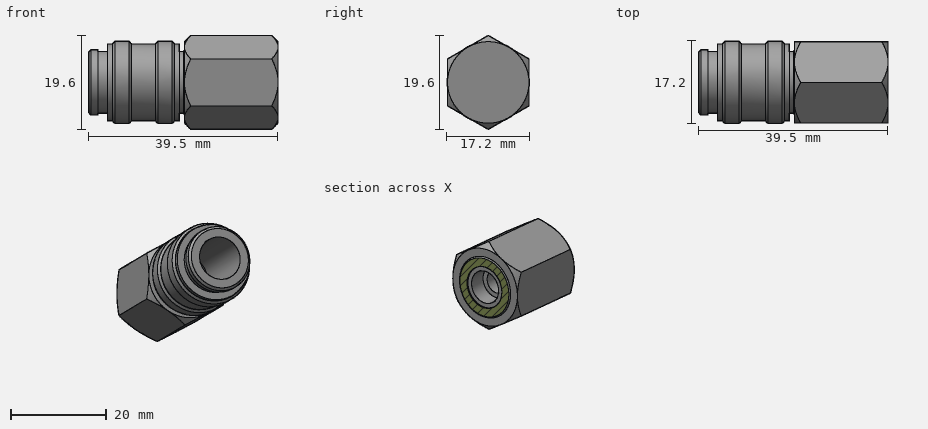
import cadquery as cq
import math

LENGTH = 39.5
NOSE_COLLAR_END = 1.98
SLEEVE_START = 3.95
SLEEVE_END = 18.95
FLARE_START = 19.75
NUT_START = 20.0

COLLAR_RADIUS = 6.85
NECK_RADIUS = 6.48
BORE_RADIUS = 4.5
EDGE_CHAMFER = 0.5

SLEEVE_RADIUS = 8.0
BAND_RADIUS = 8.59
BAND_WIDTH = 4.0
BAND_STARTS = (4.98, 13.95)

ACROSS_FLATS = 17.0
ACROSS_CORNERS = ACROSS_FLATS / math.cos(math.pi / 6)
NUT_LENGTH = LENGTH - NUT_START
NUT_FACE_RADIUS = ACROSS_FLATS / 2
NUT_CHAMFER = ACROSS_CORNERS / 2 - NUT_FACE_RADIUS
SEAT_RADIUS = 3.55
SEAT_DEPTH = 3.95
PORT_RADIUS = 2.5
PORT_DEPTH = 7.9


def cylinder(start, length, radius):
    """Solid cylinder along +X."""
    return cq.Workplane("YZ", origin=(start, 0, 0)).circle(radius).extrude(length)


def make_tube():
    flare_size = NUT_START - FLARE_START
    profile = (
        cq.Workplane("XY")
        .moveTo(0, BORE_RADIUS)
        .lineTo(0, COLLAR_RADIUS - EDGE_CHAMFER)
        .lineTo(EDGE_CHAMFER, COLLAR_RADIUS)
        .lineTo(NOSE_COLLAR_END, COLLAR_RADIUS)
        .lineTo(NOSE_COLLAR_END, NECK_RADIUS)
        .lineTo(FLARE_START, NECK_RADIUS)
        .lineTo(NUT_START, NECK_RADIUS + flare_size)
        .lineTo(NUT_START, BORE_RADIUS)
        .close()
    )
    return profile.revolve(360, (0, 0, 0), (1, 0, 0))


def make_sleeve():
    sleeve = cylinder(SLEEVE_START, SLEEVE_END - SLEEVE_START, SLEEVE_RADIUS)
    for start in BAND_STARTS:
        band = cylinder(start, BAND_WIDTH, BAND_RADIUS).faces("<X or >X").chamfer(EDGE_CHAMFER)
        sleeve = sleeve.union(band)
    return sleeve.cut(cylinder(SLEEVE_START, SLEEVE_END - SLEEVE_START, NECK_RADIUS))


def make_nut():
    hexagon = (
        cq.Workplane("YZ", origin=(NUT_START, 0, 0))
        .polygon(6, ACROSS_CORNERS)
        .extrude(NUT_LENGTH)
        .rotate((0, 0, 0), (1, 0, 0), 90)
    )
    blank = cylinder(NUT_START, NUT_LENGTH, ACROSS_CORNERS / 2)
    blank = blank.faces("<X or >X").chamfer(NUT_CHAMFER)
    seat = cylinder(NUT_START, SEAT_DEPTH, SEAT_RADIUS)
    port = cylinder(NUT_START, PORT_DEPTH, PORT_RADIUS)
    return hexagon.intersect(blank).cut(seat).cut(port)


tube = make_tube()
sleeve = make_sleeve()
nut = make_nut()

result = cq.Compound.makeCompound([tube.val(), sleeve.val(), nut.val()])